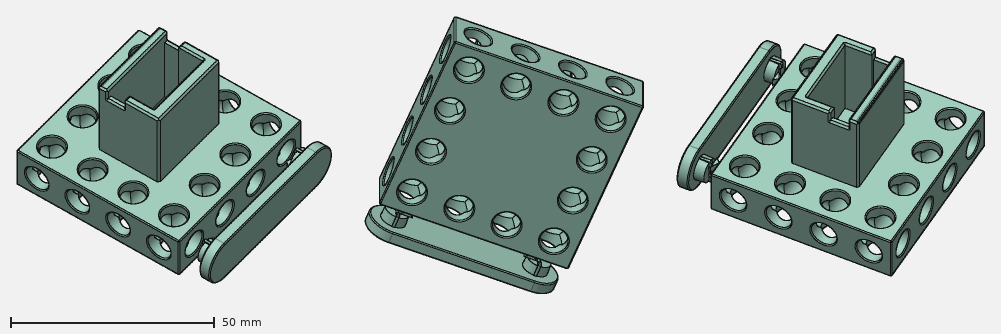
import cadquery as cq
import math

total_length = 59.4
hole_count = 4
block_side = 50.0
pitch = block_side / hole_count
block_height = pitch
hole_diameter = 7.0
small_chamfer = 0.3

tower_length = 18.75
tower_width = 24.95
tower_height = 23.0
tower_chamfer = 0.55
lip_radius = 0.9
lip_facets = 4
front_wall = 2.85
back_wall = 3.45
channel_length = 5.05
channel_width = 22.0
pocket_width = 19.95
notch_depth = 3.0

plate_thickness = 3.2
peg_length = 2.75
peg_base_diameter = 6.65
peg_tip_diameter = 6.3
rib_width = 0.8
rib_height = 7.0
rib_overhang = 0.7
rib_chamfer = 0.35
scoop_radius = 2.4
scoop_depth = 1.2
hook_width = 1.85
hook_height = 1.25
hook_point = 2.75
hook_reach = 4.0

block_center_x = block_side / 2
block_center_z = block_height / 2
tower_min_x = block_center_x - tower_length / 2
tower_max_x = tower_min_x + tower_length
tower_top = block_height + tower_height
channel_min_x = tower_min_x + front_wall
channel_max_x = channel_min_x + channel_length
pocket_max_x = tower_max_x - back_wall
hole_offsets = [(i - (hole_count - 1) / 2) * pitch for i in range(hole_count)]
outermost_hole = hole_offsets[-1]
plate_min_x = total_length - plate_thickness
peg_end_x = plate_min_x - peg_length


def span_box(x_span, y_span, z_span):
    """Box between the given (low, high) limits on each axis."""
    (x0, x1), (y0, y1), (z0, z1) = x_span, y_span, z_span
    return cq.Workplane("XY").box(x1 - x0, y1 - y0, z1 - z0, centered=False).translate((x0, y0, z0))


def through_hole(length):
    """Cutter along Z, centered on the origin, flared to bevel both rims."""
    radius = hole_diameter / 2
    rim_radius = radius + small_chamfer
    half = length / 2
    profile = [(0, -half), (rim_radius, -half), (radius, small_chamfer - half),
               (radius, half - small_chamfer), (rim_radius, half), (0, half)]
    return cq.Workplane("XZ").polyline(profile).close().revolve(360, (0, 0, 0), (0, 1, 0))


def perforated_block():
    block = cq.Workplane("XY").box(block_side, block_side, block_height).edges().chamfer(small_chamfer)
    upright = through_hole(block_height)
    along_y = through_hole(block_side).rotate((0, 0, 0), (1, 0, 0), 90)
    along_x = through_hole(block_side).rotate((0, 0, 0), (0, 1, 0), 90)
    for offset in hole_offsets:
        block = block.cut(along_y.translate((offset, 0, 0)))
        block = block.cut(along_x.translate((0, offset, 0)))
        for other in hole_offsets:
            if outermost_hole in (abs(offset), abs(other)):
                block = block.cut(upright.translate((offset, other, 0)))
    return block.translate((block_center_x, 0, block_center_z))


def lip_points():
    """Corners of the faceted lip, from the tower's top down to its -X face."""
    points = []
    for i in range(lip_facets + 1):
        angle = math.pi / 2 * (1 + i / lip_facets)
        points.append((
            tower_min_x + lip_radius * (1 + math.cos(angle)),
            tower_top - lip_radius * (1 - math.sin(angle)),
        ))
    return points


def tower_blank():
    """Solid tower: where its plan, its lengthwise profile and its crosswise profile overlap."""
    half_width = tower_width / 2
    shoulder = tower_top - tower_chamfer
    plan = (
        cq.Workplane("XY", origin=(block_center_x, 0, block_height))
        .rect(tower_length, tower_width)
        .extrude(tower_height)
        .edges("|Z")
        .chamfer(tower_chamfer)
    )
    lengthwise_outline = [(tower_min_x, block_height), (tower_max_x, block_height), (tower_max_x, shoulder),
                          (tower_max_x - tower_chamfer, tower_top), *lip_points()]
    lengthwise = (
        cq.Workplane("XZ", origin=(0, half_width, 0))
        .polyline(lengthwise_outline)
        .close()
        .extrude(tower_width)
    )
    crosswise_outline = [(-half_width, block_height), (half_width, block_height), (half_width, shoulder),
                         (half_width - tower_chamfer, tower_top), (tower_chamfer - half_width, tower_top),
                         (-half_width, shoulder)]
    crosswise = (
        cq.Workplane("YZ", origin=(tower_min_x, 0, 0))
        .polyline(crosswise_outline)
        .close()
        .extrude(tower_length)
    )
    return plan.intersect(lengthwise).intersect(crosswise)


def flared_rim(x_span, width):
    """45 degree bevel around a rectangular opening in the tower's top."""
    x0, x1 = x_span
    return (
        cq.Workplane("XY", origin=((x0 + x1) / 2, 0, tower_top - tower_chamfer))
        .rect(x1 - x0, width)
        .extrude(tower_chamfer, taper=-45)
    )


def notch_bevel():
    """Bevel around the notch where it opens in the tower's -Y face."""
    center_x = (channel_min_x + channel_max_x) / 2
    return (
        cq.Workplane("XZ", origin=(center_x, tower_chamfer - tower_width / 2, tower_top))
        .rect(channel_length, 2 * notch_depth)
        .extrude(tower_chamfer, taper=-45)
    )


def socket_tower():
    channel_x = (channel_min_x, channel_max_x)
    pocket_x = (channel_min_x, pocket_max_x)
    pocket_z = (block_height, tower_top)
    notch_z = (tower_top - notch_depth, tower_top)
    tower = tower_blank()
    tower = tower.cut(span_box(channel_x, (-channel_width / 2, channel_width / 2), pocket_z))
    tower = tower.cut(span_box(pocket_x, (-pocket_width / 2, pocket_width / 2), pocket_z))
    tower = tower.cut(span_box(channel_x, (-tower_width / 2, tower_width / 2), notch_z))
    tower = tower.cut(flared_rim(channel_x, tower_width)).cut(flared_rim(pocket_x, pocket_width))
    bevel = notch_bevel()
    return tower.cut(bevel).cut(bevel.mirror("XZ"))


def clip_plate():
    return (
        cq.Workplane("YZ", origin=(plate_min_x, 0, block_center_z))
        .slot2D(block_side, block_height)
        .extrude(plate_thickness)
        .faces("<X or >X")
        .chamfer(small_chamfer)
    )


def rib():
    """Thin web across the peg, beveled at the corners of its free end."""
    end_x = peg_end_x - rib_overhang
    web = span_box((end_x, plate_min_x), (-rib_width / 2, rib_width / 2), (-rib_height / 2, rib_height / 2))
    return web.faces("<X").edges("|Y").chamfer(rib_chamfer)


def rib_scoop():
    """Round cutter that hollows the rib's free end."""
    center_x = peg_end_x - rib_overhang + scoop_depth - scoop_radius
    return (
        cq.Workplane("XZ", origin=(center_x, rib_width / 2, 0))
        .circle(scoop_radius)
        .extrude(rib_width)
    )


def hook():
    """Pointed catch on the peg's end, reaching toward +Y."""
    outline = [(peg_end_x, rib_width / 2), (peg_end_x, hook_reach), (peg_end_x - hook_height, hook_point)]
    return (
        cq.Workplane("XY", origin=(0, 0, -hook_width / 2))
        .polyline(outline)
        .close()
        .extrude(hook_width)
    )


def snap_peg():
    """Peg on the X axis with its hook toward +Y."""
    peg = (
        cq.Workplane("YZ", origin=(plate_min_x, 0, 0))
        .circle(peg_base_diameter / 2)
        .workplane(offset=-peg_length)
        .circle(peg_tip_diameter / 2)
        .loft()
    )
    return peg.union(rib()).cut(rib_scoop()).union(hook())


housing = perforated_block().union(socket_tower())

lower_peg = snap_peg().translate((0, -outermost_hole, block_center_z))
clip = clip_plate().union(lower_peg).union(lower_peg.mirror("XZ"))

result = cq.Compound.makeCompound([housing.val(), clip.val()])